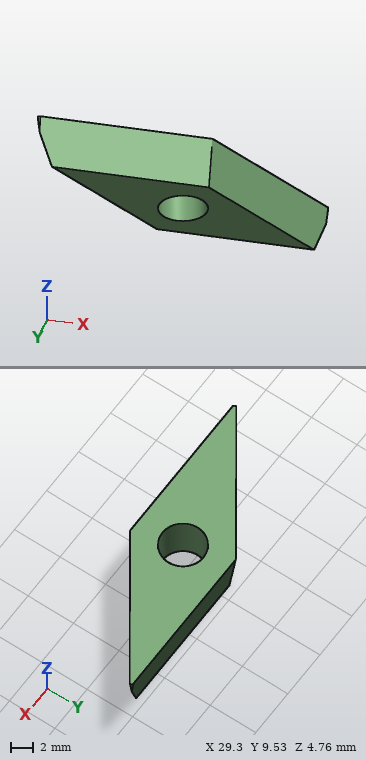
import math

import cadquery as cq

inscribed_diameter = 9.525
thickness = 4.76
nose_angle = 35.0
clearance_angle = 7.0
nose_radius = 0.2
hole_diameter = 4.5

clearance_slope = math.tan(math.radians(clearance_angle))
rounded_depth = nose_radius / clearance_slope
sharp_depth = thickness - rounded_depth


def rhombus(inset, height):
    """Sharp rhombus with its flanks set in from the cutting edges, at a height above the base."""
    width = inscribed_diameter - 2 * inset
    side = width / math.sin(math.radians(nose_angle))
    shift = width / math.tan(math.radians(nose_angle))
    right = (side + shift) / 2
    left = (side - shift) / 2
    half_width = width / 2
    corners = [
        (-right, -half_width),
        (left, -half_width),
        (right, half_width),
        (-left, half_width),
    ]
    return cq.Workplane("XY").workplane(offset=height).polyline(corners).close()


def sharp_body():
    """Lower part, whose drafted flanks meet in sharp corner edges."""
    return rhombus(nose_radius, sharp_depth).extrude(-sharp_depth, taper=clearance_angle)


def rounded_body():
    """Upper part, widening upward so that a small cone rounds each corner."""
    return rhombus(nose_radius, sharp_depth).extrude(rounded_depth, taper=-clearance_angle)


body = sharp_body().union(rounded_body())
result = body.faces(">Z").workplane(origin=(0, 0, thickness)).hole(hole_diameter)